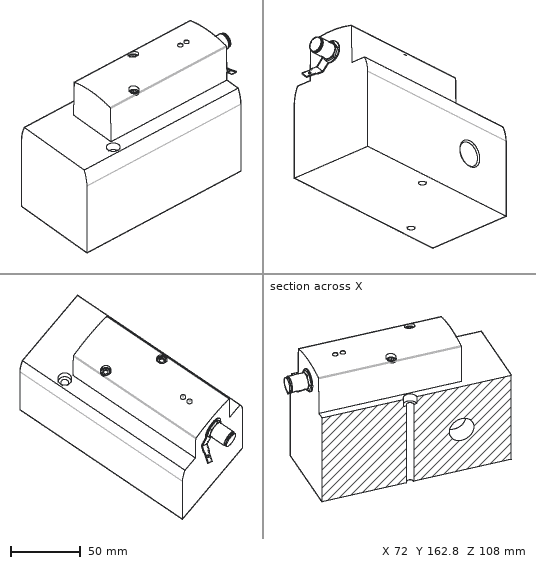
import cadquery as cq
import math

total_length = 162.8
total_height = 108.0

hexagon_sides = 6

body_width = 72.0
body_length = 146.2
body_height = 73.7
body_side_height = 61.0
body_top_width = 65.8
shoulder_radius = 35.0

cover_front = 36.1
cover_base_width = 41.0
cover_top_width = 40.0
cover_side_height = 104.2
cover_crown_height = 106.8
cover_edge_radius = 0.7

lamp_positions_y = (119.7, 125.5)
lamp_diameter = 3.9
lamp_root_depth = 1.6
lamp_tip_diameter = 1.0

screw_positions = ((-15.8, 88.7), (15.8, 62.0))
screw_diameter = 7.5
screw_top_height = 103.4
screw_top_diameter = 5.5
screw_bevel_height = 0.8
socket_corner_diameter = 3.9
socket_turn = 30.0
socket_depth = 1.6

mount_positions = ((-26.4, 78.1), (26.4, 33.2))
mount_hole_diameter = 5.5
mount_bore_diameter = 10.0
mount_bore_depth = 6.0

port_y = 38.5
port_z = 36.0
port_diameter = 18.5
port_mouth_diameter = 20.8
port_depth = 24.5

connector_z = 89.5
ring_diameter = 17.0
ring_thickness = 0.8
nut_corner_diameter = 15.0
nut_turn = 5.0
nut_chamfer = 0.5
nut_end = 148.6
barrel_diameter = 12.0
barrel_end = 160.8
neck_diameter = 10.7
neck_end = 161.8
tip_diameter = 11.0

tag_direction = -45.0
tag_bend_angle = 48.0
tag_bend_reach = 15.0
tag_shoulder_reach = 18.2
tag_tip_reach = 24.0
tag_root_width = 8.1
tag_tip_width = 6.3
tag_hole_reach = 20.8
tag_hole_diameter = 1.8


def make_body():
    half_base = body_width / 2
    half_top = body_top_width / 2
    chord_x = half_base - half_top
    chord_z = body_height - body_side_height
    chord = math.hypot(chord_x, chord_z)
    bulge = shoulder_radius - math.sqrt(shoulder_radius**2 - (chord / 2) ** 2)
    middle_x = (half_base + half_top) / 2 + bulge * chord_z / chord
    middle_z = (body_side_height + body_height) / 2 + bulge * chord_x / chord
    return (
        cq.Workplane("XZ")
        .moveTo(-half_base, 0)
        .lineTo(half_base, 0)
        .lineTo(half_base, body_side_height)
        .threePointArc((middle_x, middle_z), (half_top, body_height))
        .lineTo(-half_top, body_height)
        .threePointArc((-middle_x, middle_z), (-half_base, body_side_height))
        .close()
        .extrude(-body_length)
    )


def make_cover():
    half_base = cover_base_width / 2
    half_top = cover_top_width / 2
    cover = (
        cq.Workplane("XZ", origin=(0, cover_front, 0))
        .moveTo(-half_base, body_height)
        .lineTo(half_base, body_height)
        .lineTo(half_top, cover_side_height)
        .threePointArc((0, cover_crown_height), (-half_top, cover_side_height))
        .close()
        .extrude(-(body_length - cover_front))
    )
    crown_edges = cq.selectors.BoxSelector(
        (-body_width, 0, cover_side_height - cover_edge_radius),
        (body_width, total_length, cover_side_height + cover_edge_radius),
    )
    return cover.edges("|Y").edges(crown_edges).fillet(cover_edge_radius)


def add_lamps(part):
    """Domed lamps whose rounding leaves a small flat at the top."""
    rounding = (lamp_diameter - lamp_tip_diameter) / 2
    for y in lamp_positions_y:
        lamp = (
            cq.Workplane("XY", origin=(0, y, total_height))
            .circle(lamp_diameter / 2)
            .extrude(-(total_height - cover_crown_height + lamp_root_depth))
            .faces(">Z")
            .edges()
            .fillet(rounding)
        )
        part = part.union(lamp)
    return part


def cut_cover_screws(part):
    for x, y in screw_positions:
        seat_height = screw_top_height - screw_bevel_height
        recess = (
            cq.Workplane("XY", origin=(x, y, seat_height))
            .circle(screw_diameter / 2)
            .extrude(total_height - seat_height)
        )
        screw_head = (
            cq.Workplane("XY", origin=(x, y, seat_height))
            .circle(screw_diameter / 2)
            .workplane(offset=screw_bevel_height)
            .circle(screw_top_diameter / 2)
            .loft()
        )
        socket = (
            cq.Workplane("XY", origin=(x, y, screw_top_height))
            .transformed(rotate=(0, 0, socket_turn))
            .polygon(hexagon_sides, socket_corner_diameter)
            .extrude(-socket_depth)
        )
        part = part.cut(recess.cut(screw_head)).cut(socket)
    return part


def cut_mounting_holes(part):
    return (
        part.copyWorkplane(cq.Workplane("XY", origin=(0, 0, body_height)))
        .pushPoints(mount_positions)
        .cboreHole(mount_hole_diameter, mount_bore_diameter, mount_bore_depth)
    )


def cut_side_port(part):
    mouth_bevel = (port_mouth_diameter - port_diameter) / 2
    port = (
        cq.Workplane("YZ", origin=(-body_width / 2, port_y, port_z))
        .circle(port_diameter / 2)
        .extrude(port_depth)
    )
    mouth = (
        cq.Workplane("YZ", origin=(-body_width / 2, port_y, port_z))
        .circle(port_mouth_diameter / 2)
        .workplane(offset=mouth_bevel)
        .circle(port_diameter / 2)
        .loft()
    )
    return part.cut(port).cut(mouth)


def back_plane(y):
    """Sketch plane at depth y, centred on the connector axis, with its normal along +Y."""
    return cq.Workplane(cq.Plane(origin=(0, y, connector_z), xDir=(1, 0, 0), normal=(0, 1, 0)))


def back_cylinder(diameter, end):
    return back_plane(body_length).circle(diameter / 2).extrude(end - body_length)


def make_connector():
    nut_blank = back_cylinder(nut_corner_diameter, nut_end).faces(">Y").chamfer(nut_chamfer)
    nut = (
        back_plane(body_length)
        .transformed(rotate=(0, 0, nut_turn))
        .polygon(hexagon_sides, nut_corner_diameter)
        .extrude(nut_end - body_length)
        .intersect(nut_blank)
    )
    tip = back_plane(neck_end).circle(tip_diameter / 2).extrude(total_length - neck_end)
    return (
        back_cylinder(ring_diameter, body_length + ring_thickness)
        .union(nut)
        .union(back_cylinder(barrel_diameter, barrel_end))
        .union(back_cylinder(neck_diameter, neck_end))
        .union(tip)
    )


def make_tag():
    """Stepped strip built along +X from the connector axis, bent off the back face, then turned."""
    bend = math.radians(tag_bend_angle)
    tip_rise = (tag_tip_reach - tag_bend_reach) * math.tan(bend)
    upper_tip_reach = tag_tip_reach - ring_thickness * math.sin(bend)
    upper_tip_rise = tip_rise + ring_thickness * math.cos(bend)
    strip = (
        cq.Workplane("XY", origin=(0, body_length, connector_z))
        .polyline(
            [
                (0, 0),
                (tag_bend_reach, 0),
                (tag_tip_reach, tip_rise),
                (upper_tip_reach, upper_tip_rise),
                (tag_bend_reach - ring_thickness * math.tan(bend / 2), ring_thickness),
                (0, ring_thickness),
            ]
        )
        .close()
        .extrude(tag_root_width / 2, both=True)
    )
    root = back_plane(body_length).rect(2 * tag_shoulder_reach, tag_root_width)
    blade = back_plane(body_length).rect(2 * tag_tip_reach, tag_tip_width)
    outline_height = total_length - body_length
    outline = root.extrude(outline_height).union(blade.extrude(outline_height))
    hole_rise = (tag_hole_reach - tag_bend_reach) * math.tan(bend)
    hole_plane = cq.Plane(
        origin=(tag_hole_reach, body_length + hole_rise, connector_z),
        xDir=(0, 0, 1),
        normal=(-math.sin(bend), math.cos(bend), 0),
    )
    hole = cq.Workplane(hole_plane).circle(tag_hole_diameter / 2).extrude(2 * ring_thickness, both=True)
    axis_start = (0, 0, connector_z)
    axis_end = (0, -1, connector_z)
    return strip.intersect(outline).cut(hole).rotate(axis_start, axis_end, tag_direction)


result = make_body().union(make_cover())
result = add_lamps(result)
result = cut_cover_screws(result)
result = cut_mounting_holes(result)
result = cut_side_port(result)
result = result.union(make_connector()).union(make_tag())